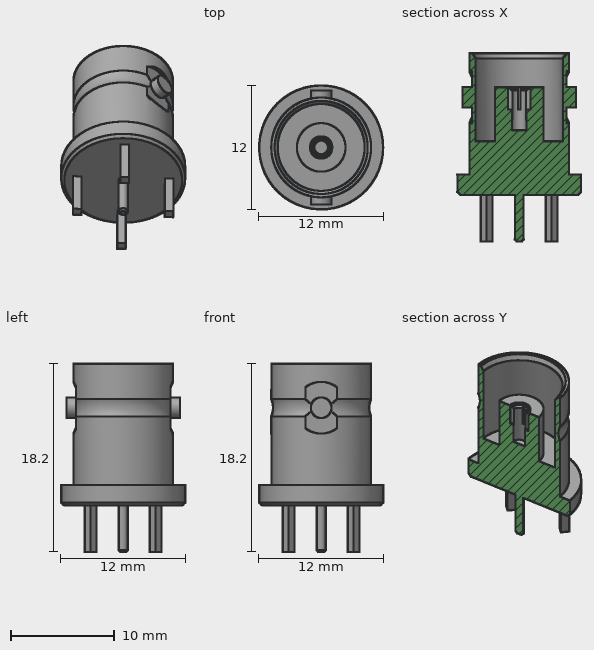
import cadquery as cq

FLANGE_RADIUS = 6.0
FLANGE_HEIGHT = 2.0
FLANGE_CHAMFER = 0.3

BARREL_RADIUS = 4.825
BARREL_TOP = 13.7
BORE_RADIUS = 4.2
BORE_DEPTH = 8.5
LIP_CHAMFER_WIDTH = 0.3
LIP_CHAMFER_HEIGHT = 0.5

LUG_Z = 9.45
GROOVE_WIDTH = 1.65
GROOVE_DEPTH = 0.165

LUG_RADIUS = 1.0
LUG_REACH = 5.5
SPOT_FACE_RADIUS = 2.5
SPOT_FACE_DISTANCE = 4.575

POST_RADIUS = 2.35
POST_TOP = 10.43

CONTACT_RADIUS = 1.075
CONTACT_RECESS = 0.15
CONTACT_BORE_RADIUS = 0.67
CONTACT_BORE_DEPTH = 4.0
CONTACT_MOUTH_RADIUS = 0.87
CONTACT_SLOT_WIDTH = 0.2
CONTACT_SLOT_DEPTH = 2.0

LEG_LENGTH = 4.5
LEG_SIDE = 0.82
LEG_SPACING = 6.28
LEG_ANGLE = 45
PIN_RADIUS = 0.45
PIN_CHAMFER = 0.2


def cylinder(radius, bottom, top):
    """Upright cylinder about the Z axis between two heights."""
    return cq.Workplane("XY").workplane(offset=bottom).circle(radius).extrude(top - bottom)


def lug_cylinder(radius, start, end, side):
    """Cylinder lying along Y at lug height, on the side (+1 or -1) of the barrel."""
    base = cq.Vector(0, side * start, LUG_Z)
    direction = cq.Vector(0, side, 0)
    return cq.Workplane(cq.Solid.makeCylinder(radius, end - start, base, direction))


def make_shell():
    """Flange and barrel, with the open bore and its chamfered lip."""
    flange = cylinder(FLANGE_RADIUS, 0, FLANGE_HEIGHT).faces("<Z").chamfer(FLANGE_CHAMFER)
    barrel = cylinder(BARREL_RADIUS, 0, BARREL_TOP)
    bore = cylinder(BORE_RADIUS, BARREL_TOP - BORE_DEPTH, BARREL_TOP)
    lip_radius = BORE_RADIUS + LIP_CHAMFER_WIDTH
    lip_cone = cq.Solid.makeCone(
        BORE_RADIUS, lip_radius, LIP_CHAMFER_HEIGHT, cq.Vector(0, 0, BARREL_TOP - LIP_CHAMFER_HEIGHT)
    )
    return flange.union(barrel).cut(bore).cut(cq.Workplane(lip_cone))


def make_groove():
    """Ring with an arc-shaped inner side that cuts the barrel groove."""
    half_width = GROOVE_WIDTH / 2
    return (
        cq.Workplane("XZ")
        .moveTo(FLANGE_RADIUS, LUG_Z - half_width)
        .lineTo(BARREL_RADIUS, LUG_Z - half_width)
        .threePointArc((BARREL_RADIUS - GROOVE_DEPTH, LUG_Z), (BARREL_RADIUS, LUG_Z + half_width))
        .lineTo(FLANGE_RADIUS, LUG_Z + half_width)
        .close()
        .revolve(360, (0, 0, 0), (0, 1, 0))
    )


def add_lugs(body):
    """Cut the two spot faces and stand a bayonet lug on each."""
    lug_root = (BORE_RADIUS + SPOT_FACE_DISTANCE) / 2
    for side in (-1, 1):
        body = body.cut(lug_cylinder(SPOT_FACE_RADIUS, SPOT_FACE_DISTANCE, FLANGE_RADIUS, side))
        body = body.union(lug_cylinder(LUG_RADIUS, lug_root, LUG_REACH, side))
    return body


def make_post():
    """Insulator post with the slotted contact recessed in its top."""
    contact_top = POST_TOP - CONTACT_RECESS
    mouth_depth = CONTACT_MOUTH_RADIUS - CONTACT_BORE_RADIUS
    post = cylinder(POST_RADIUS, FLANGE_HEIGHT, POST_TOP)
    post = post.cut(cylinder(CONTACT_RADIUS, contact_top, POST_TOP))
    post = post.cut(cylinder(CONTACT_BORE_RADIUS, contact_top - CONTACT_BORE_DEPTH, contact_top))
    mouth = cq.Solid.makeCone(
        CONTACT_BORE_RADIUS, CONTACT_MOUTH_RADIUS, mouth_depth, cq.Vector(0, 0, contact_top - mouth_depth)
    )
    post = post.cut(cq.Workplane(mouth))
    slots = (
        cq.Workplane("XY")
        .workplane(offset=contact_top - CONTACT_SLOT_DEPTH)
        .rect(2 * CONTACT_RADIUS, CONTACT_SLOT_WIDTH)
        .extrude(CONTACT_SLOT_DEPTH)
    )
    slots = slots.union(slots.rotate((0, 0, 0), (0, 0, 1), 90))
    return post.cut(slots.intersect(cylinder(CONTACT_RADIUS, FLANGE_HEIGHT, contact_top)))


def make_legs():
    """Four square legs, each turned so a flat faces the axis."""
    leg = (
        cq.Workplane("XY")
        .rect(LEG_SIDE, LEG_SIDE)
        .extrude(-LEG_LENGTH)
        .rotate((0, 0, 0), (0, 0, 1), LEG_ANGLE)
        .val()
    )
    corners = cq.Workplane("XY").rect(LEG_SPACING, LEG_SPACING, forConstruction=True).vertices()
    return corners.eachpoint(lambda place: leg.moved(place))


def make_centre_pin():
    """Round centre pin with a chamfered tip."""
    return cylinder(PIN_RADIUS, -LEG_LENGTH, FLANGE_HEIGHT).faces("<Z").chamfer(PIN_CHAMFER)


shell = add_lugs(make_shell().cut(make_groove()))
result = shell.union(make_post()).union(make_legs()).union(make_centre_pin())